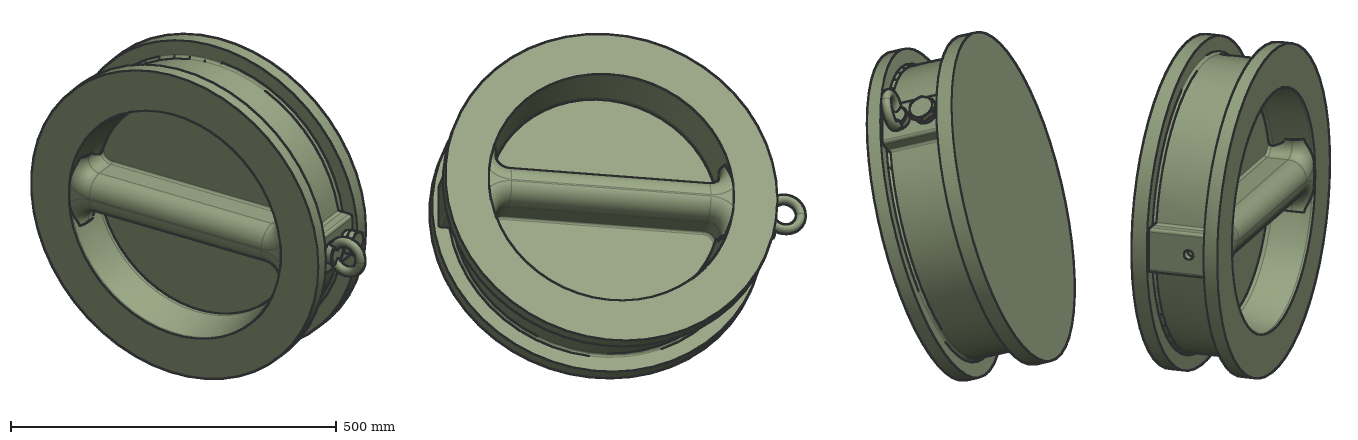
import cadquery as cq
import math

OVERALL_LENGTH = 571.0

BODY_WIDTH = 140.0
FLANGE_DIAMETER = 518.0
NECK_DIAMETER = 461.0
BACK_FLANGE_THICKNESS = 25.0
FRONT_FLANGE_THICKNESS = 22.0
NECK_FILLET = 4.5

BACK_Y = BODY_WIDTH / 2
FRONT_Y = -BODY_WIDTH / 2
NECK_BACK_Y = BACK_Y - BACK_FLANGE_THICKNESS
NECK_FRONT_Y = FRONT_Y + FRONT_FLANGE_THICKNESS

MOUTH_DIAMETER = 382.5
MOUTH_DEPTH = 4.5
FLOOR_DIAMETER = 360.0
FLOOR_RUN = 7.5
FLOOR_Y = 0.0

BAR_HALF_WIDTH = 31.5
BAR_ROUNDING = 30.0
BAR_STRAIGHT_HALF_LENGTH = 155.5
FLARE_RADIUS = 20.0
BAR_EMBEDMENT = 17.0
BAR_SETBACK = 1.5
BAR_BASE_FILLET = 4.0
BAR_FRONT_Y = FRONT_Y + BAR_SETBACK

PAD_FACE_X = 249.5
PAD_HALF_HEIGHT = 35.5
PAD_EDGE_FILLET = 5.0
PAD_EMBEDMENT = 57.0

HOLE_DIAMETER = 15.0
HOLE_DEPTH = 17.0
DRILL_TIP_ANGLE = 118.0
EYE_Y = -20.0

FITTING_EMBEDMENT = 5.5

PLUG_Y = 24.0
PLUG_COLLAR_DIAMETER = 33.0
PLUG_COLLAR_LENGTH = 9.5
PLUG_ACROSS_FLATS = 37.0
PLUG_HEAD_LENGTH = 11.5
PLUG_CHAMFER_ANGLE = 30.0

EYE_COLLAR_DIAMETER = 35.0
EYE_COLLAR_LENGTH = 13.5
EYE_COLLAR_CHAMFER = 1.5
EYE_BAR_DIAMETER = 15.5
EYE_HOLE_DIAMETER = 35.0
EYE_RING_RADIUS = (EYE_HOLE_DIAMETER + EYE_BAR_DIAMETER) / 2
EYE_TIP_X = OVERALL_LENGTH - FLANGE_DIAMETER / 2
EYE_CENTER_X = EYE_TIP_X - EYE_RING_RADIUS - EYE_BAR_DIAMETER / 2


def disc(diameter, y_start, y_end):
    """Cylinder about the Y axis between two Y positions."""
    return cq.Workplane("XZ", origin=(0, y_start, 0)).circle(diameter / 2).extrude(y_start - y_end)


def rod(diameter, x_start, length, y):
    """Cylinder along +X at height zero."""
    return cq.Workplane("YZ", origin=(x_start, y, 0)).circle(diameter / 2).extrude(length)


def make_pad(side):
    """Flat pad between the flanges; side is +1 or -1 along X."""
    return (
        cq.Workplane("XY")
        .box(PAD_EMBEDMENT, NECK_BACK_Y - NECK_FRONT_Y, 2 * PAD_HALF_HEIGHT)
        .translate((side * (PAD_FACE_X - PAD_EMBEDMENT / 2), (NECK_BACK_Y + NECK_FRONT_Y) / 2, 0))
        .faces(">X" if side > 0 else "<X")
        .edges("|Y")
        .fillet(PAD_EDGE_FILLET)
    )


def make_body():
    """Flanges, neck and pads, with the neck filleted into both."""
    body = (
        disc(NECK_DIAMETER, BACK_Y, FRONT_Y)
        .union(disc(FLANGE_DIAMETER, BACK_Y, NECK_BACK_Y))
        .union(disc(FLANGE_DIAMETER, NECK_FRONT_Y, FRONT_Y))
        .union(make_pad(1))
        .union(make_pad(-1))
    )
    neck_faces = [
        face
        for face in body.faces("%CYLINDER").vals()
        if NECK_FRONT_Y < face.Center().y < NECK_BACK_Y and abs(face.Center().z) > PAD_HALF_HEIGHT
    ]
    return body.newObject(neck_faces).edges().fillet(NECK_FILLET)


def make_bore():
    """Mouth and tapered wall of the front bore, as a solid to cut away."""
    profile = [
        (0, FRONT_Y),
        (MOUTH_DIAMETER / 2, FRONT_Y),
        (MOUTH_DIAMETER / 2, FRONT_Y + MOUTH_DEPTH),
        (FLOOR_DIAMETER / 2, FLOOR_Y - FLOOR_RUN),
        (FLOOR_DIAMETER / 2, FLOOR_Y),
        (0, FLOOR_Y),
    ]
    return cq.Workplane("XY").polyline(profile).close().revolve(360, (0, 0, 0), (0, 1, 0))


def make_bar_side_section():
    """Space beside the bar: x runs from the flare axis to the bar, y from its front to the floor."""
    height = FLOOR_Y - BAR_FRONT_Y
    rounding_end = FLARE_RADIUS + BAR_ROUNDING
    fillet_start = FLARE_RADIUS - BAR_BASE_FILLET
    return (
        cq.Sketch()
        .segment((0, 0), (rounding_end, 0))
        .arc((rounding_end, BAR_ROUNDING), BAR_ROUNDING, 270, -90)
        .segment((FLARE_RADIUS, BAR_ROUNDING), (FLARE_RADIUS, height - BAR_BASE_FILLET))
        .arc((fillet_start, height - BAR_BASE_FILLET), BAR_BASE_FILLET, 0, 90)
        .segment((fillet_start, height), (0, height))
        .close()
        .assemble()
    )


def make_bar():
    """Bar with a rounded front, filleted base and ends that flare into the bore wall."""
    axis_x = BAR_STRAIGHT_HALF_LENGTH
    axis_z = BAR_HALF_WIDTH + FLARE_RADIUS
    corner_scale = 1 + (FLARE_RADIUS + BAR_EMBEDMENT) / math.hypot(axis_x, axis_z)
    corner_x = axis_x * corner_scale
    corner_z = axis_z * corner_scale
    block = (
        cq.Workplane("XZ", origin=(0, FLOOR_Y + BAR_EMBEDMENT, 0))
        .polyline([(0, 0), (0, axis_z), (axis_x, axis_z), (corner_x, corner_z), (corner_x, 0)])
        .close()
        .extrude(FLOOR_Y + BAR_EMBEDMENT - BAR_FRONT_Y)
    )
    section_plane = cq.Plane(
        origin=(axis_x, BAR_FRONT_Y, axis_z), xDir=(0, 0, -1), normal=(1, 0, 0)
    )
    section = cq.Workplane(section_plane).placeSketch(make_bar_side_section())
    quarter = block.cut(section.extrude(-axis_x)).cut(section.revolve(360, (0, 0, 0), (0, 1, 0)))
    half = quarter.union(quarter.mirror("XY"))
    return half.union(half.mirror("YZ"))


def make_drilled_hole():
    """Blind hole with a conical tip, entering the -X pad."""
    radius = HOLE_DIAMETER / 2
    tip = radius / math.tan(math.radians(DRILL_TIP_ANGLE / 2))
    profile = [(0, 0), (0, radius), (HOLE_DEPTH, radius), (HOLE_DEPTH + tip, 0)]
    hole = cq.Workplane("XY").polyline(profile).close().revolve(360, (0, 0, 0), (1, 0, 0))
    return hole.translate((-PAD_FACE_X, EYE_Y, 0))


def fitting_collar(diameter, length, y):
    """Round collar standing on the +X pad, with its root sunk into the pad."""
    return rod(diameter, PAD_FACE_X - FITTING_EMBEDMENT, FITTING_EMBEDMENT + length, y)


def make_plug():
    """Round collar and hexagonal head with chamfered corners."""
    head_x = PAD_FACE_X + PLUG_COLLAR_LENGTH
    collar = fitting_collar(PLUG_COLLAR_DIAMETER, PLUG_COLLAR_LENGTH, PLUG_Y)
    corner_diameter = PLUG_ACROSS_FLATS / math.cos(math.pi / 6)
    corner_rise = (corner_diameter - PLUG_ACROSS_FLATS) / 2
    chamfer_length = corner_rise * math.tan(math.radians(PLUG_CHAMFER_ANGLE))
    blank = (
        rod(corner_diameter, head_x, PLUG_HEAD_LENGTH, PLUG_Y)
        .faces(">X")
        .chamfer(chamfer_length, corner_rise)
    )
    hexagon = (
        cq.Workplane("YZ", origin=(head_x, PLUG_Y, 0))
        .transformed(rotate=(0, 0, 90))
        .polygon(6, corner_diameter)
        .extrude(PLUG_HEAD_LENGTH)
    )
    return collar.union(hexagon.intersect(blank))


def make_eye():
    """Chamfered collar and ring of the lifting eye."""
    collar = (
        fitting_collar(EYE_COLLAR_DIAMETER, EYE_COLLAR_LENGTH, EYE_Y)
        .faces(">X")
        .chamfer(EYE_COLLAR_CHAMFER)
    )
    ring = (
        cq.Workplane("XY", origin=(EYE_CENTER_X, EYE_Y, 0))
        .center(EYE_RING_RADIUS, 0)
        .circle(EYE_BAR_DIAMETER / 2)
        .revolve(360, (-EYE_RING_RADIUS, 0, 0), (-EYE_RING_RADIUS, 1, 0))
    )
    return collar.union(ring)


body = make_body().cut(make_bore()).union(make_bar())
result = body.cut(make_drilled_hole()).union(make_plug()).union(make_eye())